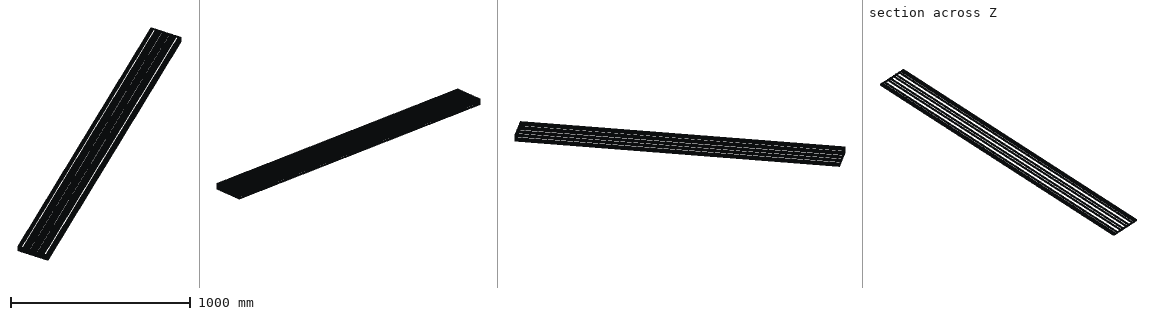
import cadquery as cq

LENGTH = 1829.0
WIDTH = 180.0
HEIGHT = 31.0
CORNER_RADIUS = 2.0
WALL = 2.0
TOP = HEIGHT / 2
SIDE = WIDTH / 2

SLOT_PITCH = WIDTH / 4
SLOT_CENTRES = [-SLOT_PITCH, 0, SLOT_PITCH]
SLOT_OPENING = 8.5
SLOT_CAVITY_WIDTH = 16.8
SLOT_LIP = 10.6
SLOT_FLOOR = -0.4
SIDE_SLOT_OPENING = 7.7
SIDE_SLOT_CAVITY_HEIGHT = 12.0
SIDE_SLOT_LIP = 4.0
SIDE_SLOT_DEPTH = 13.0
CHANNEL_Z = 5.0

INNER_SCREW_DIAMETER = 7.1
OUTER_SCREW_DIAMETER = 7.0
INNER_SCREW_X = SLOT_PITCH / 2
OUTER_SCREW_X = 70.0

UPPER_CHAMBER_OFFSET = 10.0
UPPER_CHAMBER_WIDTH = 6.4
UPPER_CHAMBER_TOP = 12.5
UPPER_CHAMBER_FLOOR = 2.2

LOWER_CHAMBER_TOP = SLOT_FLOOR - WALL
LOWER_CHAMBER_FLOOR = -TOP + WALL
SLOT_CHAMBER_HALF = 12.0
END_CHAMBER_WIDTH = 11.5
END_CHAMBER_OUTER_X = SIDE - WALL
END_CHAMBER_INNER_X = END_CHAMBER_OUTER_X - END_CHAMBER_WIDTH

FORK_X = 59.0
FORK_UPPER_Z = -6.0
FORK_LOWER_Z = -8.2
FORK_ARM_REACH = 4.5


def prism(points):
    """Full-length prism whose (x, z) outline is given."""
    return cq.Workplane("XZ").polyline(points).close().extrude(LENGTH / 2, both=True)


def bar(x_start, x_end, z_start, z_end):
    """Full-length rectangular bar between two X and two Z values."""
    return prism([(x_start, z_start), (x_end, z_start), (x_end, z_end), (x_start, z_end)])


def both_sides(shape):
    """The shape together with its mirror image across the plane X = 0."""
    return shape.union(shape.mirror("YZ"))


def top_slot(x):
    half_opening = SLOT_OPENING / 2
    half_cavity = SLOT_CAVITY_WIDTH / 2
    opening = bar(x - half_opening, x + half_opening, SLOT_FLOOR, TOP)
    return opening.union(bar(x - half_cavity, x + half_cavity, SLOT_FLOOR, TOP - SLOT_LIP))


def side_slot():
    half_opening = SIDE_SLOT_OPENING / 2
    half_cavity = SIDE_SLOT_CAVITY_HEIGHT / 2
    floor = SIDE - SIDE_SLOT_DEPTH
    opening = bar(floor, SIDE, CHANNEL_Z - half_opening, CHANNEL_Z + half_opening)
    cavity = bar(floor, SIDE - SIDE_SLOT_LIP, CHANNEL_Z - half_cavity, CHANNEL_Z + half_cavity)
    return opening.union(cavity)


def screw_channel(x, diameter):
    profile = cq.Workplane("XZ").center(x, CHANNEL_Z).circle(diameter / 2)
    return profile.extrude(LENGTH / 2, both=True)


def upper_chamber(x_start):
    """Rectangular chamber whose lowest X is x_start."""
    return bar(x_start, x_start + UPPER_CHAMBER_WIDTH, UPPER_CHAMBER_FLOOR, UPPER_CHAMBER_TOP)


def fork_valley():
    """The V between the arms, which deepens the outermost upper chamber."""
    x_start = SLOT_PITCH + UPPER_CHAMBER_OFFSET
    x_end = x_start + UPPER_CHAMBER_WIDTH
    floor = UPPER_CHAMBER_FLOOR
    return prism([(x_start, floor), (FORK_X, FORK_UPPER_Z), (x_end, floor)])


def lower_chamber(x_start, x_end):
    return bar(x_start, x_end, LOWER_CHAMBER_FLOOR, LOWER_CHAMBER_TOP)


def fork_chamber(far_x, direction):
    """Lower chamber on one side of the fork, its upper corner cut off by the sloping arm."""
    stem_x = FORK_X + direction * WALL / 2
    arm_x = FORK_X + direction * FORK_ARM_REACH
    return prism(
        [
            (far_x, LOWER_CHAMBER_FLOOR),
            (stem_x, LOWER_CHAMBER_FLOOR),
            (stem_x, FORK_LOWER_Z),
            (arm_x, LOWER_CHAMBER_TOP),
            (far_x, LOWER_CHAMBER_TOP),
        ]
    )


plate = bar(-SIDE, SIDE, -TOP, TOP).edges("|Y").fillet(CORNER_RADIUS)

for slot_x in SLOT_CENTRES:
    plate = plate.cut(top_slot(slot_x))
    plate = plate.cut(upper_chamber(slot_x + UPPER_CHAMBER_OFFSET))
    plate = plate.cut(upper_chamber(slot_x - UPPER_CHAMBER_OFFSET - UPPER_CHAMBER_WIDTH))
plate = plate.cut(both_sides(side_slot()))
plate = plate.cut(both_sides(fork_valley()))

plate = plate.cut(both_sides(screw_channel(INNER_SCREW_X, INNER_SCREW_DIAMETER)))
plate = plate.cut(both_sides(screw_channel(OUTER_SCREW_X, OUTER_SCREW_DIAMETER)))

between_start = SLOT_CHAMBER_HALF + WALL
outer_slot_start = SLOT_PITCH - SLOT_CHAMBER_HALF
plate = plate.cut(lower_chamber(-SLOT_CHAMBER_HALF, SLOT_CHAMBER_HALF))
plate = plate.cut(both_sides(lower_chamber(between_start, outer_slot_start - WALL)))
plate = plate.cut(both_sides(fork_chamber(outer_slot_start, -1)))
plate = plate.cut(both_sides(fork_chamber(END_CHAMBER_INNER_X - WALL, 1)))
plate = plate.cut(both_sides(lower_chamber(END_CHAMBER_INNER_X, END_CHAMBER_OUTER_X)))

result = plate